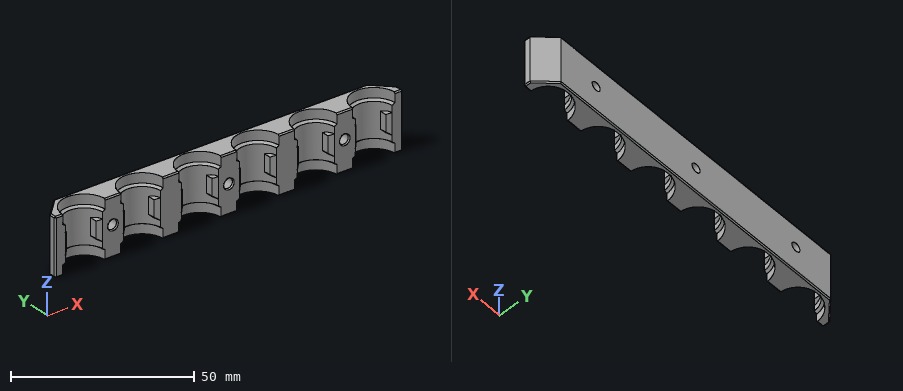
import cadquery as cq

length = 120.0
depth = 8.45
height = 19.0
end_flat_depth = 2.45
edge_chamfer = 0.4

seat_count = 6
seat_pitch = 20.0
seat_axis_gap = 0.1
bore_radius = 6.35
collar_radius = 7.3
collar_height = 3.2
collar_cone_height = 0.55
collar_lip_width = 0.05
collar_lip_height = 0.2

tab_height = 7.0
tab_inner_offset = 5.1
tab_projection = bore_radius - tab_inner_offset
tab_outer_offset = 7.0
tab_back = 4.2
tab_end_slope = 0.7

screw_diameter = 3.2
screw_mouth_width = 0.2
screw_mouth_depth = 0.55
side_screw_x = 2 * seat_pitch
side_screw_z = 0.5
screw_positions = [(-side_screw_x, side_screw_z), (0, 0), (side_screw_x, side_screw_z)]

seat_centres = [(i - (seat_count - 1) / 2) * seat_pitch for i in range(seat_count)]


def make_bar():
    """Bar with both back corners cut at 45 degrees and all outer edges broken."""
    half_length = length / 2
    back_half_length = half_length - (depth - end_flat_depth)
    outline = [
        (-half_length, 0),
        (half_length, 0),
        (half_length, end_flat_depth),
        (back_half_length, depth),
        (-back_half_length, depth),
        (-half_length, end_flat_depth),
    ]
    bar = cq.Workplane("XY").polyline(outline).close().extrude(height / 2, both=True)
    front_corners = bar.faces("<Y").edges("|Z")
    return bar.faces("|Z").edges().add(front_corners).chamfer(edge_chamfer)


def make_seat_cutter():
    """Turned shape of one seat: a bore with a coned collar at each end."""
    top = height / 2
    collar_floor = top - collar_height
    cone_end = collar_floor - collar_cone_height
    lip_radius = collar_radius + collar_lip_width
    profile = [
        (0, -top),
        (lip_radius, -top),
        (collar_radius, collar_lip_height - top),
        (collar_radius, -collar_floor),
        (bore_radius, -cone_end),
        (bore_radius, cone_end),
        (collar_radius, collar_floor),
        (collar_radius, top - collar_lip_height),
        (lip_radius, top),
        (0, top),
    ]
    return cq.Workplane("XZ").polyline(profile).close().revolve(360, (0, 0), (0, 1))


def make_tab():
    """Tab on the +X wall of a seat, sloped at its front, top and bottom."""
    plan = [
        (tab_inner_offset, tab_projection),
        (bore_radius, 0),
        (tab_outer_offset, 0),
        (tab_outer_offset, tab_back),
        (tab_inner_offset, tab_back),
    ]
    tab = cq.Workplane("XY").polyline(plan).close().extrude(tab_height / 2, both=True)
    return tab.faces("<X").edges("|Y").chamfer(tab_end_slope, tab_projection)


def cut_seats(bar):
    """Cut every seat, leaving the tabs standing on its walls."""
    cutter = make_seat_cutter().translate((0, -seat_axis_gap, 0))
    right_tab = make_tab()
    left_tab = right_tab.mirror("YZ")
    cutter = cutter.cut(right_tab).cut(left_tab)
    for x in seat_centres:
        bar = bar.cut(cutter.translate((x, 0, 0)))
    return bar


def make_screw_cutter():
    """Through hole along +Y with a bevelled mouth at the front face."""
    screw_radius = screw_diameter / 2
    profile = [
        (0, 0),
        (screw_radius + screw_mouth_width, 0),
        (screw_radius, screw_mouth_depth),
        (screw_radius, depth),
        (0, depth),
    ]
    return cq.Workplane("XY").polyline(profile).close().revolve(360, (0, 0), (0, 1))


def cut_screw_holes(bar):
    """Cut the centre hole and the two outer holes."""
    cutter = make_screw_cutter()
    for x, z in screw_positions:
        bar = bar.cut(cutter.translate((x, 0, z)))
    return bar


result = cut_screw_holes(cut_seats(make_bar()))